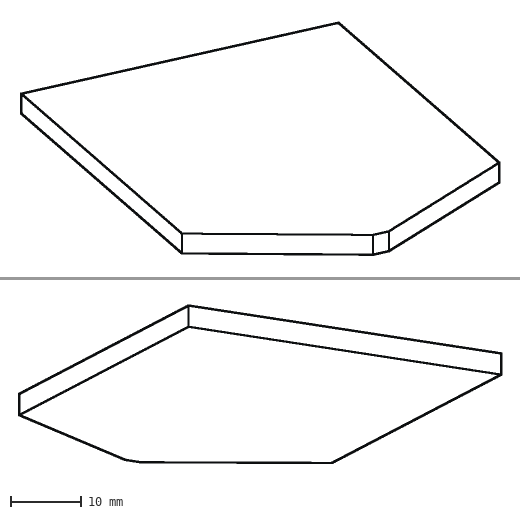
import cadquery as cq

length = 63.5
width = 50.8
thickness = 3.2

point_length = 12.7
tip_width = 2.55

shoulder_x = length / 2 - point_length

outline = [
    (-length / 2, -width / 2),
    (shoulder_x, -width / 2),
    (length / 2, -tip_width / 2),
    (length / 2, tip_width / 2),
    (shoulder_x, width / 2),
    (-length / 2, width / 2),
]

result = cq.Workplane("XY").polyline(outline).close().extrude(thickness)